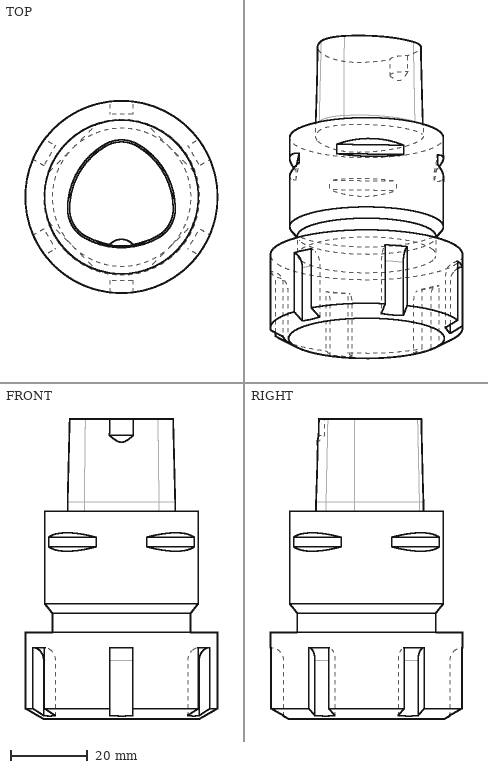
import cadquery as cq
import math

NUT_TOP = 22.5
NECK_TOP = 27.5
BODY_CONE_TOP = 30.0
BODY_TOP = 54.0
SHANK_TAPER_START = 56.5
TOTAL_HEIGHT = 78.0

NUT_DIAMETER = 50.0
NECK_DIAMETER = 36.0
BODY_DIAMETER = 40.0

NUT_CHAMFER_HEIGHT = 2.75
NUT_CHAMFER_ANGLE = 30.0

NUT_SLOT_COUNT = 6
NUT_SLOT_WIDTH = 6.0
NUT_SLOT_FLOOR_RADIUS = 21.6
NUT_SLOT_TOP = 18.6
NUT_SLOT_END_RADIUS = 3.3
NUT_SLOT_FIRST_ANGLE = 30.0

NOTCH_COUNT = 4
NOTCH_FIRST_ANGLE = 45.0
NOTCH_FLOOR_RADIUS = 18.0
NOTCH_FLOOR_HEIGHT = 2.5
NOTCH_DEPTH_BELOW_BODY_TOP = 8.0
NOTCH_CENTER = BODY_TOP - NOTCH_DEPTH_BELOW_BODY_TOP
NOTCH_FLARE_ANGLE = 30.0

SHANK_WIDTH = 28.0
SHANK_SIDE_RADIUS = 19.4
SHANK_LOBE_RADIUS = SHANK_WIDTH - SHANK_SIDE_RADIUS
LOBE_ANGLES = (90, 210, 330)
LOBE_SPACING = 120
LOBE_HALF_ARC = 30
SHANK_TAPER_PER_SIDE = 1 / 40

RECESS_DIAMETER = 8.0
RECESS_AXIS_Y = -15.0
RECESS_DEPTH = 4.3
RECESS_TIP_ANGLE = 90.0


def tangent(degrees):
    return math.tan(math.radians(degrees))


def polar_point(radius, degrees):
    angle = math.radians(degrees)
    return (radius * math.cos(angle), radius * math.sin(angle))


def turned_body():
    nut_radius = NUT_DIAMETER / 2
    neck_radius = NECK_DIAMETER / 2
    body_radius = BODY_DIAMETER / 2
    bottom_radius = nut_radius - NUT_CHAMFER_HEIGHT / tangent(NUT_CHAMFER_ANGLE)
    half_section = [
        (0, 0),
        (bottom_radius, 0),
        (nut_radius, NUT_CHAMFER_HEIGHT),
        (nut_radius, NUT_TOP),
        (neck_radius, NUT_TOP),
        (neck_radius, NECK_TOP),
        (body_radius, BODY_CONE_TOP),
        (body_radius, BODY_TOP),
        (0, BODY_TOP),
    ]
    return cq.Workplane("XZ").polyline(half_section).close().revolve(360, (0, 0), (0, 1))


def nut_slot_cutter():
    """Slot on the +X side, open downward and outward, with a rounded inner end."""
    outside = NUT_DIAMETER
    arc_start_z = NUT_SLOT_TOP - NUT_SLOT_END_RADIUS
    arc_end_x = NUT_SLOT_FLOOR_RADIUS + NUT_SLOT_END_RADIUS
    return (
        cq.Workplane("XZ")
        .moveTo(NUT_SLOT_FLOOR_RADIUS, 0)
        .lineTo(NUT_SLOT_FLOOR_RADIUS, arc_start_z)
        .radiusArc((arc_end_x, NUT_SLOT_TOP), NUT_SLOT_END_RADIUS)
        .lineTo(outside, NUT_SLOT_TOP)
        .lineTo(outside, 0)
        .close()
        .extrude(NUT_SLOT_WIDTH / 2, both=True)
    )


def notch_cutter():
    """Flared notch on the +X side, straight across the body."""
    half_floor = NOTCH_FLOOR_HEIGHT / 2
    outside = NUT_DIAMETER / 2
    half_mouth = half_floor + (outside - NOTCH_FLOOR_RADIUS) * tangent(NOTCH_FLARE_ANGLE)
    section = [
        (NOTCH_FLOOR_RADIUS, NOTCH_CENTER - half_floor),
        (outside, NOTCH_CENTER - half_mouth),
        (outside, NOTCH_CENTER + half_mouth),
        (NOTCH_FLOOR_RADIUS, NOTCH_CENTER + half_floor),
    ]
    return cq.Workplane("XZ").polyline(section).close().extrude(BODY_DIAMETER / 2, both=True)


def shank_profile(z):
    """Three equally spaced lobes, one pointing to +Y, joined by tangent side arcs."""
    center_offset = (SHANK_SIDE_RADIUS - SHANK_LOBE_RADIUS) / math.sqrt(3)
    lobe_tip = center_offset + SHANK_LOBE_RADIUS
    side_middle = SHANK_SIDE_RADIUS - center_offset

    def joint(lobe_angle, normal_angle):
        center_x, center_y = polar_point(center_offset, lobe_angle)
        arm_x, arm_y = polar_point(SHANK_LOBE_RADIUS, normal_angle)
        return (center_x + arm_x, center_y + arm_y)

    first_angle = LOBE_ANGLES[0]
    start = joint(first_angle, first_angle - LOBE_HALF_ARC)
    profile = cq.Workplane("XY").workplane(offset=z).moveTo(*start)
    for lobe_angle in LOBE_ANGLES:
        next_lobe_angle = lobe_angle + LOBE_SPACING
        side_angle = lobe_angle + LOBE_SPACING / 2
        lobe_end = joint(lobe_angle, lobe_angle + LOBE_HALF_ARC)
        next_lobe_start = joint(next_lobe_angle, next_lobe_angle - LOBE_HALF_ARC)
        profile = profile.threePointArc(polar_point(lobe_tip, lobe_angle), lobe_end)
        profile = profile.threePointArc(polar_point(side_middle, side_angle), next_lobe_start)
    return profile.close()


def shank():
    taper_angle = math.degrees(math.atan(SHANK_TAPER_PER_SIDE))
    base = shank_profile(BODY_TOP).extrude(SHANK_TAPER_START - BODY_TOP)
    taper_height = TOTAL_HEIGHT - SHANK_TAPER_START
    tapered = shank_profile(SHANK_TAPER_START).extrude(taper_height, taper=taper_angle)
    return base.union(tapered)


def recess_cutter():
    """Drilled hole with a conical tip, parallel to the Z axis."""
    radius = RECESS_DIAMETER / 2
    shoulder_z = TOTAL_HEIGHT - RECESS_DEPTH
    tip_z = shoulder_z - radius / tangent(RECESS_TIP_ANGLE / 2)
    half_section = [(0, tip_z), (radius, shoulder_z), (radius, TOTAL_HEIGHT), (0, TOTAL_HEIGHT)]
    drill = cq.Workplane("XZ").polyline(half_section).close().revolve(360, (0, 0), (0, 1))
    return drill.translate((0, RECESS_AXIS_Y, 0))


def cut_around(part, cutter, count, first_angle):
    for index in range(count):
        angle = first_angle + index * 360 / count
        part = part.cut(cutter.rotate((0, 0, 0), (0, 0, 1), angle))
    return part


result = turned_body()
result = cut_around(result, nut_slot_cutter(), NUT_SLOT_COUNT, NUT_SLOT_FIRST_ANGLE)
result = cut_around(result, notch_cutter(), NOTCH_COUNT, NOTCH_FIRST_ANGLE)
result = result.union(shank())
result = result.cut(recess_cutter())